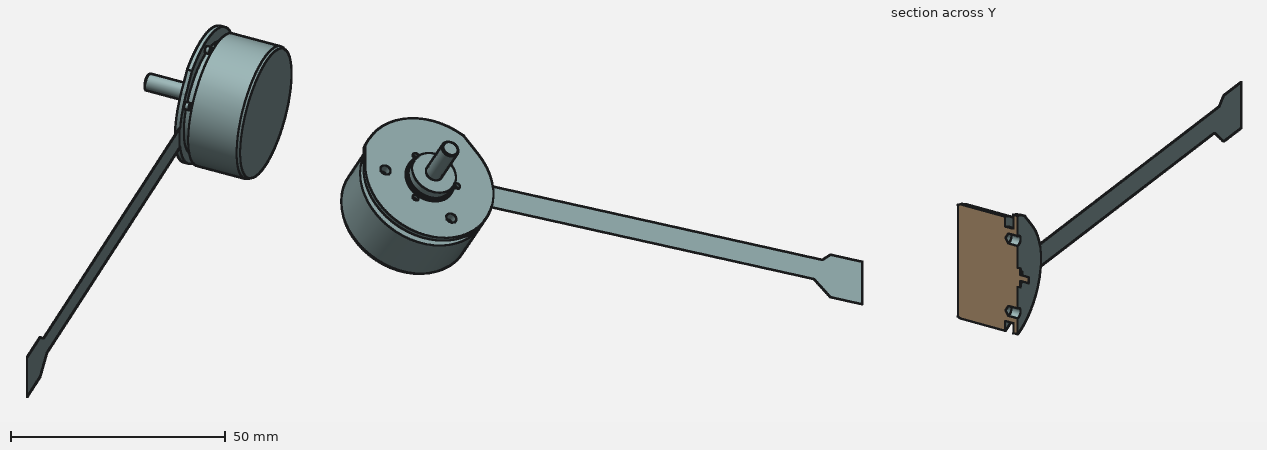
import cadquery as cq
import math


shaft_length = 10.6
boss_length = 2.2
collar_length = 0.7
flange_thickness = 1.2
hub_length = 2.1
cup_length = 13.0

shaft_diameter = 4.1
boss_diameter = 11.0
collar_diameter = 12.0
hub_diameter = 27.1
cup_diameter = 32.0
shaft_chamfer = 0.2
cup_chamfer_length = 0.7
cup_chamfer_depth = 0.4

flange_height = 33.0
flange_radius = cup_diameter / 2
lobe_radius = flange_height - flange_radius
lobe_start_angle = 40
lobe_end_angle = 180

mounting_hole_diameter = 2.5
mounting_hole_circle_radius = 11.0
mounting_hole_angles = (60, 180, 300)
mounting_hole_depth = 2.5
drill_point_angle = 118
small_hole_diameter = 1.5
small_hole_circle_radius = 6.8
small_hole_angles = (0, 120, 240)
small_hole_depth = 1.2

pin_diameter = 1.7
pin_length = 1.1
pin_circle_radius = 14.6
pin_angles = (30, 90, 150)

cable_thickness = 0.1
cable_width = 6.0
overall_length = 124.5
cable_start = 12.5
cable_end = overall_length - flange_radius
connector_length = 8.0
connector_step_up = 2.0
connector_step_down = 4.1


def cylinder(start, length, diameter):
    """Cylinder on the motor axis from X = start."""
    return cq.Workplane("YZ").workplane(offset=start).circle(diameter / 2).extrude(length)


def polar(radius, angle):
    """(Y, Z) of a point at an angle measured from -Y toward +Z."""
    turn = math.radians(angle)
    return (-radius * math.cos(turn), radius * math.sin(turn))


def polar_points(radius, angles):
    return [polar(radius, angle) for angle in angles]


def make_turned_body():
    collar_start = -collar_length
    boss_start = collar_start - boss_length
    shaft_start = boss_start - shaft_length
    cup_start = flange_thickness + hub_length
    shaft = cylinder(shaft_start, shaft_length, shaft_diameter).faces("<X").chamfer(shaft_chamfer)
    cup = cylinder(cup_start, cup_length, cup_diameter)
    cup = cup.faces(">X").chamfer(cup_chamfer_length, cup_chamfer_depth)
    return (
        shaft.union(cylinder(boss_start, boss_length, boss_diameter))
        .union(cylinder(collar_start, collar_length, collar_diameter))
        .union(cylinder(flange_thickness, hub_length, hub_diameter))
        .union(cup)
    )


def make_flange():
    tangent_span = math.degrees(math.acos(flange_radius / lobe_radius))
    middle_angle = (lobe_start_angle + lobe_end_angle) / 2
    return (
        cq.Workplane("YZ")
        .moveTo(*polar(flange_radius, lobe_start_angle))
        .lineTo(*polar(lobe_radius, lobe_start_angle + tangent_span))
        .threePointArc(
            polar(lobe_radius, middle_angle),
            polar(lobe_radius, lobe_end_angle - tangent_span),
        )
        .lineTo(*polar(flange_radius, lobe_end_angle))
        .threePointArc(
            polar(flange_radius, middle_angle + 180),
            polar(flange_radius, lobe_start_angle),
        )
        .close()
        .extrude(flange_thickness)
    )


def make_pins():
    return (
        cq.Workplane("YZ")
        .workplane(offset=flange_thickness)
        .pushPoints(polar_points(pin_circle_radius, pin_angles))
        .circle(pin_diameter / 2)
        .extrude(pin_length)
    )


def make_cable():
    half_width = cable_width / 2
    connector_start = cable_end - connector_length
    connector_top = half_width + connector_step_up
    connector_bottom = -half_width - connector_step_down
    outline = [
        (-cable_start, half_width),
        (-(connector_start - connector_step_up), half_width),
        (-connector_start, connector_top),
        (-cable_end, connector_top),
        (-cable_end, connector_bottom),
        (-connector_start, connector_bottom),
        (-(connector_start - connector_step_down), -half_width),
        (-cable_start, -half_width),
    ]
    return (
        cq.Workplane("YZ")
        .workplane(offset=flange_thickness - cable_thickness)
        .polyline(outline)
        .close()
        .extrude(cable_thickness)
    )


def make_mounting_holes():
    radius = mounting_hole_diameter / 2
    point_length = radius / math.tan(math.radians(drill_point_angle / 2))
    drill = (
        cq.Workplane("XY")
        .polyline(
            [
                (0, 0),
                (0, radius),
                (mounting_hole_depth, radius),
                (mounting_hole_depth + point_length, 0),
            ]
        )
        .close()
        .revolve(360, (0, 0, 0), (1, 0, 0))
    )
    holes = cq.Workplane("YZ")
    for y, z in polar_points(mounting_hole_circle_radius, mounting_hole_angles):
        holes = holes.union(drill.translate((0, y, z)))
    return holes


def make_small_holes():
    return (
        cq.Workplane("YZ")
        .pushPoints(polar_points(small_hole_circle_radius, small_hole_angles))
        .circle(small_hole_diameter / 2)
        .extrude(small_hole_depth)
    )


result = (
    make_turned_body()
    .union(make_flange())
    .union(make_pins())
    .union(make_cable())
    .cut(make_mounting_holes())
    .cut(make_small_holes())
)